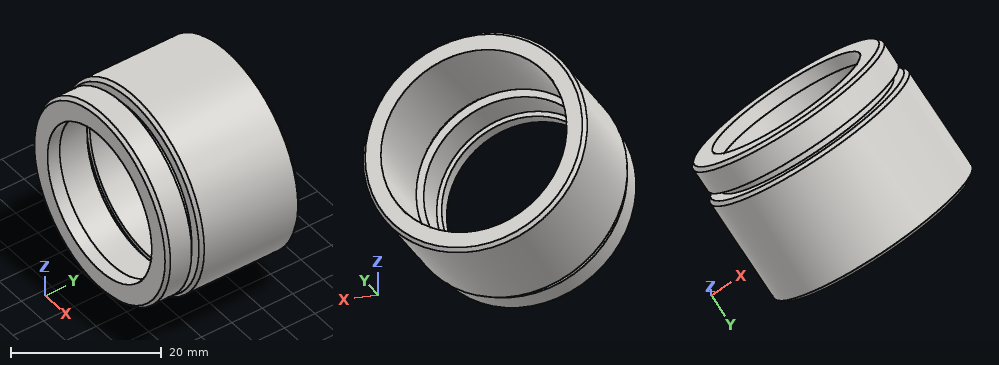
import cadquery as cq

outer_diameter = 31.75
length = 21.5

collar_diameter = 30.5
collar_length = 4.0
neck_diameter = 27.5
neck_width = 1.1
edge_chamfer = 0.5

mouth_diameter = 23.5
mouth_depth = 2.0
bore_step = 0.7
inner_groove_start = 7.0
inner_groove_width = 1.0
inner_groove_depth = 1.4

body_start = collar_length + neck_width
middle_diameter = mouth_diameter + 2 * bore_step
rear_diameter = middle_diameter + 2 * bore_step
inner_groove_diameter = middle_diameter + 2 * inner_groove_depth
inner_groove_end = inner_groove_start + inner_groove_width


def cylinder(diameter, start, end):
    """Solid cylinder along +Y between two distances from the collar face."""
    plane = cq.Workplane("XZ", origin=(0, start, 0))
    return plane.circle(diameter / 2).extrude(start - end)


collar = cylinder(collar_diameter, 0, collar_length).faces("<Y").chamfer(edge_chamfer)
neck = cylinder(neck_diameter, collar_length, body_start)
body = cylinder(outer_diameter, body_start, length).faces("<Y or >Y").chamfer(edge_chamfer)
sleeve = collar.union(neck).union(body)

bore_sections = [
    (mouth_diameter, 0, mouth_depth),
    (middle_diameter, mouth_depth, inner_groove_start),
    (inner_groove_diameter, inner_groove_start, inner_groove_end),
    (rear_diameter, inner_groove_end, length),
]
for diameter, start, end in bore_sections:
    sleeve = sleeve.cut(cylinder(diameter, start, end))

result = sleeve